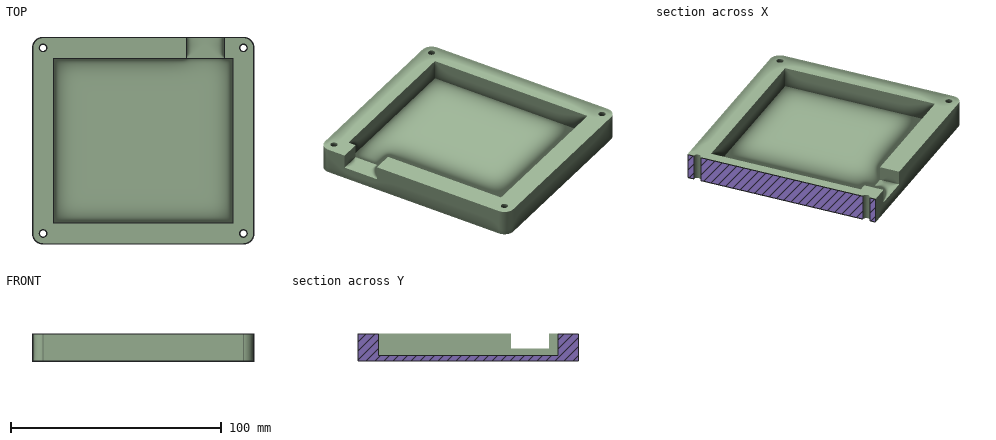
import cadquery as cq

length = 105.0
width = 98.0
height = 13.0
corner_radius = 5.0

wall = 10.0
floor_thickness = 3.0
pocket_length = length - 2 * wall
pocket_width = width - 2 * wall

notch_width = 18.0
notch_depth = 7.0
notch_end_offset = 14.0
notch_center_x = length / 2 - notch_end_offset - notch_width / 2

hole_diameter = 3.4
hole_spacing_x = length - 2 * corner_radius
hole_spacing_y = width - 2 * corner_radius


def make_block():
    """Plain block with rounded vertical corners, resting on Z = 0."""
    block = cq.Workplane("XY").box(length, width, height, centered=(True, True, False))
    return block.edges("|Z").fillet(corner_radius)


def cut_pocket(body):
    """Cut the rectangular pocket down to the floor."""
    pocket_depth = height - floor_thickness
    top = body.faces(">Z").workplane(origin=(0, 0, 0))
    return top.rect(pocket_length, pocket_width).cutBlind(-pocket_depth)


def cut_notch(body):
    """Cut the notch from the top of the +Y wall, through its full thickness."""
    notch = (
        cq.Workplane("XY")
        .box(notch_width, wall, notch_depth, centered=(True, False, False))
        .translate((notch_center_x, pocket_width / 2, height - notch_depth))
    )
    return body.cut(notch)


def cut_screw_holes(body):
    """Drill one through hole at each corner."""
    top = body.faces(">Z").workplane(origin=(0, 0, 0))
    return top.rarray(hole_spacing_x, hole_spacing_y, 2, 2).hole(hole_diameter)


result = cut_screw_holes(cut_notch(cut_pocket(make_block())))